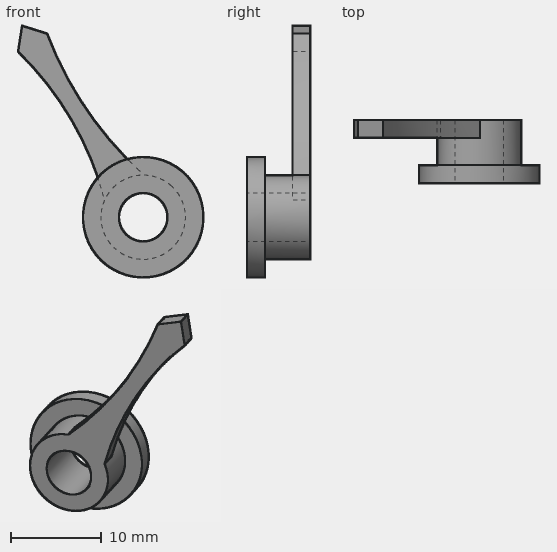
import cadquery as cq
import math

flange_diameter = 13.3
hub_diameter = 9.3
bore_diameter = 5.3
total_height = 27.77
total_depth = 7.0
flange_thickness = 2.0
lever_thickness = 2.0

tip_peak = (-13.35, total_height - flange_diameter / 2)
tip_right = (-10.58, 20.25)
tip_left = (-13.8, 18.25)
right_edge_middle = (-6.28, 11.95)
left_edge_middle = (-8.1, 11.05)
right_root_x = 0.08
left_root_z = 1.9

hub_radius = hub_diameter / 2
right_root = (right_root_x, math.sqrt(hub_radius**2 - right_root_x**2))
left_root = (-math.sqrt(hub_radius**2 - left_root_z**2), left_root_z)


def disc(diameter, depth):
    """Cylinder along +Y, starting at the flange face."""
    return cq.Workplane("XZ").circle(diameter / 2).extrude(-depth)


def lever():
    """Waisted arm, flush with the hub's back face."""
    return (
        cq.Workplane("XZ", origin=(0, total_depth - lever_thickness, 0))
        .moveTo(*right_root)
        .threePointArc(right_edge_middle, tip_right)
        .lineTo(*tip_peak)
        .lineTo(*tip_left)
        .threePointArc(left_edge_middle, left_root)
        .lineTo(0, 0)
        .close()
        .extrude(-lever_thickness)
    )


body = disc(flange_diameter, flange_thickness).union(disc(hub_diameter, total_depth))
result = body.union(lever()).cut(disc(bore_diameter, total_depth))